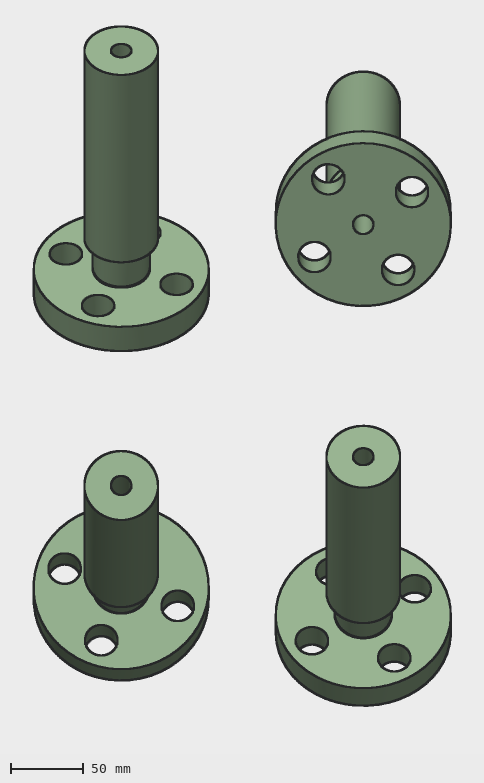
import cadquery as cq

total_height = 222.25
flange_diameter = 120.65
flange_thickness = 22.35

neck_diameter = 39.7
relief_depth = 0.4
relief_height = 1.0
barrel_diameter = 50.8
barrel_start_height = 50.8
shoulder_height = 3.2
bore_diameter = 14.0

bolt_hole_diameter = 22.35
bolt_circle_diameter = 82.55
bolt_hole_count = 4


def make_body():
    """Flange, neck with a shallow relief at its foot, conical shoulder and barrel as one revolved profile."""
    flange_radius = flange_diameter / 2
    neck_radius = neck_diameter / 2
    relief_radius = neck_radius - relief_depth
    relief_top = flange_thickness + relief_height
    barrel_radius = barrel_diameter / 2
    profile = (
        cq.Workplane("XZ")
        .moveTo(0, 0)
        .lineTo(flange_radius, 0)
        .lineTo(flange_radius, flange_thickness)
        .lineTo(relief_radius, flange_thickness)
        .lineTo(relief_radius, relief_top)
        .lineTo(neck_radius, relief_top)
        .lineTo(neck_radius, barrel_start_height - shoulder_height)
        .lineTo(barrel_radius, barrel_start_height)
        .lineTo(barrel_radius, total_height)
        .lineTo(0, total_height)
        .close()
    )
    return profile.revolve(360, (0, 0, 0), (0, 1, 0))


def make_bore():
    """Central bore through the full height."""
    return cq.Workplane("XY").circle(bore_diameter / 2).extrude(total_height)


def make_bolt_holes():
    """Evenly spaced through holes in the flange, the first on the +X axis."""
    return (
        cq.Workplane("XY")
        .polarArray(bolt_circle_diameter / 2, 0, 360, bolt_hole_count)
        .circle(bolt_hole_diameter / 2)
        .extrude(flange_thickness)
    )


result = make_body().cut(make_bore()).cut(make_bolt_holes())